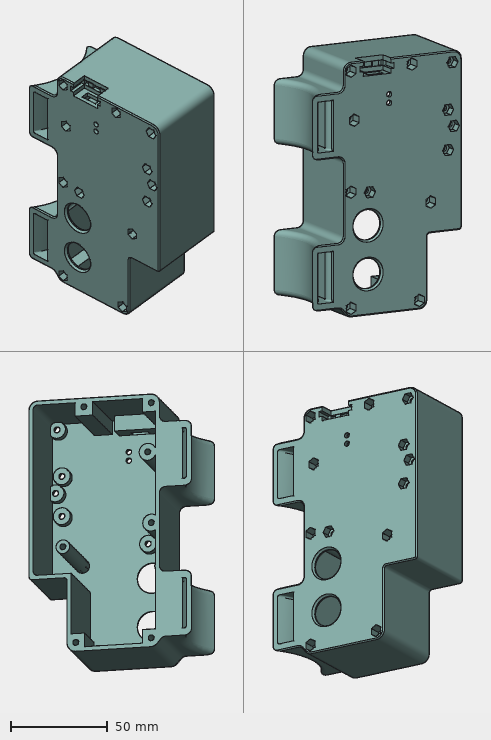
import cadquery as cq
import math

width = 88.0
height = 135.0
depth = 44.1
wall = 2.2
front_chamfer = 0.7

side_x = 18.5
leg_x = 67.8
step_z = 39.7
left_corner = 4.6
right_corner = 4.7
step_corner = 1.6
lug_root = 3.5
lug_height = 34.7
lug_bottoms = (5.1, 85.2)

saddle_y = 23.0
saddle_apex_x = 8.5
saddle_radius = (saddle_y**2 + saddle_apex_x**2) / (2 * saddle_apex_x)
saddle_axis_x = saddle_apex_x - saddle_radius
lug_edge_radius = 3.1

lug_skin = 2.2
slot_edge_radius = lug_edge_radius - lug_skin
slot_right_x = 12.4
lip_x = 10.8
lip_start_y, lip_end_y = 2.0, 8.2
slot_height = 27.0
slot_inner_radius = saddle_radius + lug_skin
slot_outer_radius = slot_right_x - saddle_axis_x

case_corner_screws = [(22.8, 4.7), (63.0, 4.7), (22.8, 130.4), (58.7, 130.4)]
case_inner_screws = [(24.7, 104.2), (22.8, 66.3)]
tall_screw = (69.8, 56.2)
board_screws = [(82.5, 128.9), (79.9, 104.0), (83.3, 95.0), (79.9, 82.6), (33.9, 65.1)]
screw_diameter = 3.1
nut_across_corners = 6.5
case_nut_depth = 6.8
board_nut_depth = 4.7
corner_pillar = 9.5
pillar_diameter = 9.0
tall_pillar = 7.3
tall_pillar_rise = 0.5
board_standoff = 6.3

sensor_holes = [(32.7, 47.7), (32.7, 21.9)]
sensor_diameter = 16.0
sensor_rim = 17.8
sensor_rim_depth = 1.4
light_holes = [(45.2, 115.8), (45.2, 111.2)]
light_diameter = 2.8

bay_left, bay_right = 30.0, 46.2
bay_floor_z = 126.9
bay_depth = 8.6
bay_back_wall = 4.0
groove_depth = 1.9
groove_bottom, groove_top = 129.3, 132.3
bay_stops = ((32.4, 35.6), (40.4, 43.7))
bay_stop_inset = 0.4
window_left, window_right = 33.9, 42.8
window_front, window_back = 2.3, 6.8

ledge_left = 51.3
ledge_top = 6.1
ledge_depth = 29.7
recess_x, recess_y = 56.8, 19.3
recess_diameter = 9.0
recess_depth = 1.4


def box(x0, x1, y0, y1, z0, z1):
    return cq.Workplane("XY").box(x1 - x0, y1 - y0, z1 - z0, centered=False).translate((x0, y0, z0))


def rod(points, diameter, y0, y1):
    """Cylinders along Y between y0 and y1."""
    plane = cq.Workplane("XZ", origin=(0, y0, 0))
    return plane.pushPoints(points).circle(diameter / 2).extrude(y0 - y1)


def on_circle(center, radius, degrees):
    angle = math.radians(degrees)
    return (center[0] + radius * math.cos(angle), center[1] + radius * math.sin(angle))


def arc(sketch, center, radius, start, end):
    """Line to the start of an arc, then the arc itself (angles in degrees)."""
    sketch = sketch.lineTo(*on_circle(center, radius, start))
    middle = on_circle(center, radius, (start + end) / 2)
    return sketch.threePointArc(middle, on_circle(center, radius, end))


def case_blank():
    low, high = lug_bottoms
    root_x = side_x - lug_root
    root_center = (root_x, low - lug_root)
    corner_center = (side_x + left_corner, left_corner)
    dx = corner_center[0] - root_center[0]
    dz = corner_center[1] - root_center[1]
    spread = math.acos((lug_root + left_corner) / math.hypot(dx, dz))
    tangent = math.degrees(math.atan2(dz, dx) + spread)

    s = cq.Workplane("XZ").moveTo(0, low)
    s = arc(s, root_center, lug_root, 90, tangent)
    s = arc(s, corner_center, left_corner, 180 + tangent, 270)
    s = arc(s, (leg_x - right_corner, right_corner), right_corner, -90, 0)
    s = arc(s, (leg_x + step_corner, step_z - step_corner), step_corner, 180, 90)
    s = arc(s, (width - step_corner, step_z + step_corner), step_corner, -90, 0)
    s = arc(s, (width - right_corner, height - right_corner), right_corner, 0, 90)
    s = arc(s, (side_x + left_corner, height - left_corner), left_corner, 90, 180)
    s = arc(s, (root_x, high + lug_height + lug_root), lug_root, 0, -90)
    s = s.lineTo(0, high + lug_height).lineTo(0, high)
    s = arc(s, (root_x, high - lug_root), lug_root, 90, 0)
    s = arc(s, (root_x, low + lug_height + lug_root), lug_root, 0, -90)
    return s.lineTo(0, low + lug_height).close().extrude(-depth)


def outer_case():
    saddle = (
        cq.Workplane("XY").center(saddle_axis_x, saddle_y).circle(saddle_radius).extrude(height)
    )
    blank = case_blank()
    outline_edges = blank.faces("<Y").edges(
        cq.selectors.BoxSelector((front_chamfer, -1.4, -1.4), (width + 1.4, 1.4, height + 1.4))
    )
    case = blank.newObject(outline_edges.vals()).chamfer(front_chamfer).cut(saddle)
    margin = 0.1
    for bottom in lug_bottoms:
        for z in (bottom, bottom + lug_height):
            lug_end = cq.selectors.BoxSelector(
                (-1.4, -1.4, z - margin), (saddle_apex_x, depth + 1.4, z + margin)
            )
            case = case.edges("%CIRCLE").edges(lug_end).fillet(lug_edge_radius)
    return case


def cavity():
    """Hollow behind the front wall, open at the back."""
    upper = box(side_x + wall, width - wall, wall, depth, step_z + wall, height - wall)
    leg = box(side_x + wall, leg_x - wall, wall, depth, wall, step_z + 2 * wall)
    hollow = upper.edges("|Y").fillet(right_corner - wall)
    return hollow.union(leg.edges("|Y").fillet(right_corner - wall))


def strap_slot(bottom):
    """Slot that widens to the front and follows the saddle to the back."""
    axis = (saddle_axis_x, saddle_y)
    back_rise = depth - saddle_y
    inner_back = math.degrees(math.asin(back_rise / slot_inner_radius))
    outer_back = math.degrees(math.asin(back_rise / slot_outer_radius))
    inner_front = -math.degrees(math.asin(saddle_y / slot_inner_radius))
    start_z = bottom + (lug_height - slot_height) / 2
    s = cq.Workplane("XY", origin=(0, 0, start_z)).moveTo(slot_right_x, 0)
    s = s.lineTo(slot_right_x, lip_start_y)
    s = s.threePointArc((lip_x, (lip_start_y + lip_end_y) / 2), (slot_right_x, lip_end_y))
    s = arc(s, axis, slot_outer_radius, 0, outer_back)
    s = arc(s, axis, slot_inner_radius, inner_back, inner_front)
    slot = s.close().extrude(slot_height)
    lip = cq.selectors.RadiusNthSelector(0)
    saddle_side = cq.selectors.RadiusNthSelector(1)
    rounded_edges = slot.edges("%CIRCLE").edges(lip + saddle_side)
    return slot.newObject(rounded_edges.vals()).fillet(slot_edge_radius)


def corner_pillars():
    plane = cq.Workplane("XZ").pushPoints(case_corner_screws)
    return plane.rect(corner_pillar, corner_pillar).extrude(-depth)


def nut_pockets(points, nut_depth, turn):
    """Hexagonal pockets in the front face, turned about Y by the given degrees."""
    pockets = cq.Workplane("XZ")
    for x, z in points:
        hexagon = cq.Workplane("XZ").polygon(6, nut_across_corners).extrude(-nut_depth)
        hexagon = hexagon.rotate((0, 0, 0), (0, 1, 0), turn)
        pockets = pockets.add(hexagon.translate((x, 0, z)))
    return pockets.combine()


def ledge():
    return box(ledge_left, leg_x - wall, wall, ledge_depth, wall, ledge_top)


def ledge_recess():
    """Upright round recess that also clears the side of the corner pillar."""
    floor = cq.Workplane("XY", origin=(recess_x, recess_y, ledge_top - recess_depth))
    return floor.circle(recess_diameter / 2).extrude(corner_pillar)


def bay_housing():
    margin = groove_depth + wall
    back = bay_depth + bay_back_wall
    return box(bay_left - margin, bay_right + margin, wall, back, bay_floor_z - wall, height - wall)


def bay_opening():
    bay = box(bay_left, bay_right, 0, bay_depth, bay_floor_z, height)
    side_groove = box(
        bay_left - groove_depth, bay_right + groove_depth, 0, bay_depth, groove_bottom, groove_top
    )
    back_groove = box(
        bay_left, bay_right, bay_depth, bay_depth + groove_depth, groove_bottom, groove_top
    )
    stop_face = bay_depth + bay_stop_inset
    for left, right in bay_stops:
        back_groove = back_groove.cut(
            box(left, right, stop_face, bay_depth + groove_depth, groove_bottom, groove_top)
        )
    window = box(
        window_left, window_right, window_front, window_back, bay_floor_z - wall, bay_floor_z
    )
    return bay.union(side_groove).union(back_groove).union(window)


def sensor_openings():
    bores = rod(sensor_holes, sensor_diameter, 0, wall)
    for x, z in sensor_holes:
        rim = cq.Solid.makeCone(
            sensor_rim / 2, sensor_diameter / 2, sensor_rim_depth,
            cq.Vector(x, 0, z), cq.Vector(0, 1, 0),
        )
        bores = bores.union(cq.Workplane(rim))
    return bores


outer = outer_case()
result = outer.cut(cavity())

supports = ledge().union(corner_pillars()).cut(ledge_recess()).union(bay_housing())
supports = supports.union(rod(case_inner_screws, pillar_diameter, 0, depth))
supports = supports.union(rod(board_screws, pillar_diameter, 0, board_standoff))
result = result.union(supports.intersect(outer))
result = result.union(rod([tall_screw], tall_pillar, wall, depth + tall_pillar_rise))

for lug_bottom in lug_bottoms:
    result = result.cut(strap_slot(lug_bottom))
case_screws = case_corner_screws + case_inner_screws + [tall_screw]
result = result.cut(rod(case_screws + board_screws, screw_diameter, 0, depth + tall_pillar_rise))
result = result.cut(nut_pockets(case_screws, case_nut_depth, 30))
result = result.cut(nut_pockets(board_screws, board_nut_depth, 0))
result = result.cut(rod(light_holes, light_diameter, 0, wall))
result = result.cut(sensor_openings())
result = result.cut(bay_opening())